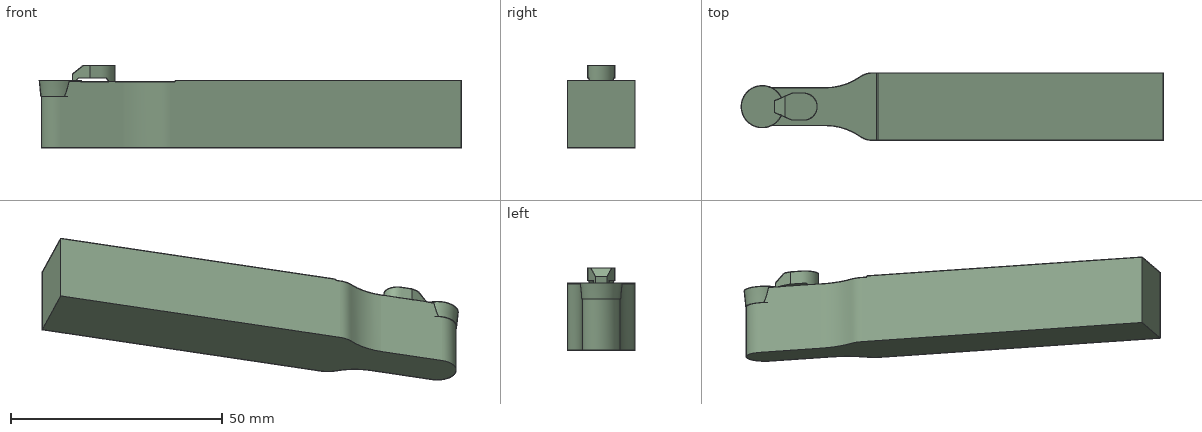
import cadquery as cq

LENGTH = 100.0
SHANK_WIDTH = 16.0
SHANK_HEIGHT = 16.0
HEAD_DROP = 0.3
STEP_X = 32.4
NECK_HALF_WIDTH = 4.5
FLARE_START_X = 20.0
FLARE_END_X = 31.1
FLARE_HOLLOW_RADIUS = 14.2

INSERT_RADIUS = 5.0
INSERT_BASE_RADIUS = 4.6
INSERT_THICKNESS = 3.9

CLAMP_TIP_X = 7.9
CLAMP_TIP_HALF_WIDTH = 1.4
CLAMP_HALF_WIDTH = 3.2
CLAMP_TAPER_END_X = 12.1
CLAMP_REAR_X = 18.0
CLAMP_TOP_Z = 19.5
CLAMP_NOSE_Z = 17.5
CLAMP_SLOPE_END_X = 10.4
GAP_TOP_Z = 16.5
FRONT_FOOT_END_X = 8.8
GAP_TOP_START_X = 9.3
GAP_TOP_END_X = 15.9
REAR_FOOT_START_X = 16.5

HALF_SHANK = SHANK_WIDTH / 2
HEAD_Z = SHANK_HEIGHT - HEAD_DROP
INSERT_BASE_Z = SHANK_HEIGHT - INSERT_THICKNESS
NOSE_X = INSERT_RADIUS


def make_insert():
    """Round insert, tapering toward its base."""
    return (
        cq.Workplane("XZ")
        .moveTo(0, INSERT_BASE_Z)
        .lineTo(INSERT_BASE_RADIUS, INSERT_BASE_Z)
        .lineTo(INSERT_RADIUS, SHANK_HEIGHT)
        .lineTo(0, SHANK_HEIGHT)
        .close()
        .revolve(360, (0, 0), (0, 1))
        .translate((NOSE_X, 0, 0))
    )


def make_shank():
    """Square shank with a neck that flares out in two tangent arcs on each side."""
    flare_length = FLARE_END_X - FLARE_START_X
    flare_rise = HALF_SHANK - NECK_HALF_WIDTH
    radius_sum = (flare_length**2 + flare_rise**2) / (2 * flare_rise)
    hollow_share = FLARE_HOLLOW_RADIUS / radius_sum
    joint_x = FLARE_START_X + hollow_share * flare_length
    joint_y = NECK_HALF_WIDTH + hollow_share * flare_rise
    crown_radius = radius_sum - FLARE_HOLLOW_RADIUS

    body = (
        cq.Workplane("XY")
        .moveTo(NOSE_X, NECK_HALF_WIDTH)
        .threePointArc((NOSE_X - NECK_HALF_WIDTH, 0), (NOSE_X, -NECK_HALF_WIDTH))
        .lineTo(FLARE_START_X, -NECK_HALF_WIDTH)
        .radiusArc((joint_x, -joint_y), FLARE_HOLLOW_RADIUS)
        .radiusArc((FLARE_END_X, -HALF_SHANK), -crown_radius)
        .lineTo(LENGTH, -HALF_SHANK)
        .lineTo(LENGTH, HALF_SHANK)
        .lineTo(FLARE_END_X, HALF_SHANK)
        .radiusArc((joint_x, joint_y), -crown_radius)
        .radiusArc((FLARE_START_X, NECK_HALF_WIDTH), FLARE_HOLLOW_RADIUS)
        .close()
        .extrude(SHANK_HEIGHT)
    )
    relief = (
        cq.Workplane("XZ")
        .moveTo(0, HEAD_Z)
        .lineTo(STEP_X - HEAD_DROP, HEAD_Z)
        .lineTo(STEP_X, SHANK_HEIGHT)
        .lineTo(0, SHANK_HEIGHT)
        .close()
        .extrude(HALF_SHANK, both=True)
    )
    return body.cut(relief)


def make_clamp():
    """Bridge-shaped clamp: the plan outline intersected with the side profile."""
    rear_arc_x = CLAMP_REAR_X - CLAMP_HALF_WIDTH
    plan = (
        cq.Workplane("XY")
        .workplane(offset=HEAD_Z)
        .moveTo(CLAMP_TIP_X, -CLAMP_TIP_HALF_WIDTH)
        .lineTo(CLAMP_TAPER_END_X, -CLAMP_HALF_WIDTH)
        .lineTo(rear_arc_x, -CLAMP_HALF_WIDTH)
        .threePointArc((CLAMP_REAR_X, 0), (rear_arc_x, CLAMP_HALF_WIDTH))
        .lineTo(CLAMP_TAPER_END_X, CLAMP_HALF_WIDTH)
        .lineTo(CLAMP_TIP_X, CLAMP_TIP_HALF_WIDTH)
        .close()
        .extrude(CLAMP_TOP_Z - HEAD_Z)
    )
    profile = (
        cq.Workplane("XZ")
        .moveTo(CLAMP_TIP_X, SHANK_HEIGHT)
        .lineTo(CLAMP_TIP_X, CLAMP_NOSE_Z)
        .lineTo(CLAMP_SLOPE_END_X, CLAMP_TOP_Z)
        .lineTo(CLAMP_REAR_X, CLAMP_TOP_Z)
        .lineTo(CLAMP_REAR_X, HEAD_Z)
        .lineTo(REAR_FOOT_START_X, HEAD_Z)
        .lineTo(GAP_TOP_END_X, GAP_TOP_Z)
        .lineTo(GAP_TOP_START_X, GAP_TOP_Z)
        .lineTo(FRONT_FOOT_END_X, SHANK_HEIGHT)
        .close()
        .extrude(CLAMP_HALF_WIDTH, both=True)
    )
    return plan.intersect(profile)


insert = make_insert()
holder = make_shank().cut(insert).union(make_clamp())

result = cq.Compound.makeCompound([holder.val(), insert.val()])